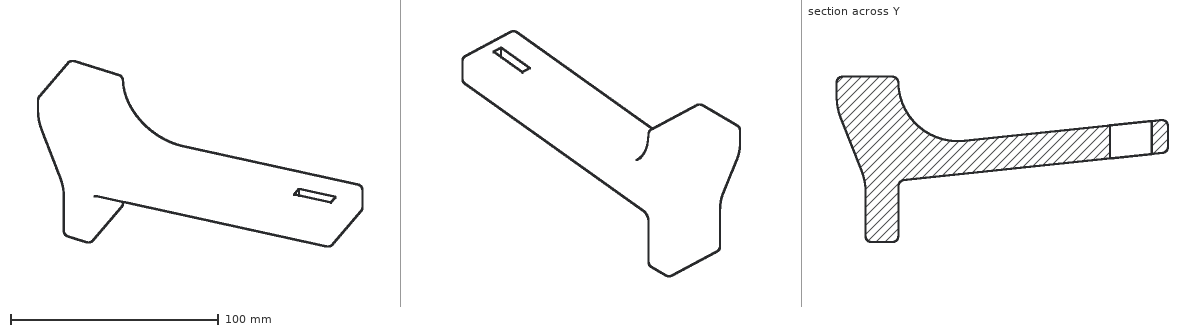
import cadquery as cq
import math

length = 160.0
width = 36.0
height = 80.0

head_width = 30.0
stem_width = 16.0
stem_left = head_width - stem_width

slope_top = 65.0
slope_bottom = 29.6
back_bend_radius = 28.5

arm_angle = 6.0
arm_thickness = 16.0
arm_root_height = 29.65
arm_slope = math.tan(math.radians(arm_angle))
arm_vertical_depth = arm_thickness / math.cos(math.radians(arm_angle))
inner_corner_radius = 3.0

saddle_radius = 28.5

edge_radius = 3.0

slot_length = 20.0
slot_width = 5.0
slot_end_gap = 8.0
slot_offset = 0.5


def arm_underside(x):
    """Height of the arm's lower face at a given x."""
    return arm_root_height + (x - head_width) * arm_slope


def arm_top(x):
    """Height of the arm's upper face at a given x."""
    return arm_underside(x) + arm_vertical_depth


def make_body():
    """Side outline extruded over the full width, with its bends rounded."""
    outline = [
        (0, height),
        (0, slope_top),
        (stem_left, slope_bottom),
        (stem_left, 0),
        (head_width, 0),
        (head_width, arm_root_height),
        (length, arm_underside(length)),
        (length, arm_top(length)),
        (head_width, arm_top(head_width)),
        (head_width, height),
    ]
    body = cq.Workplane("XZ").polyline(outline).close().extrude(width / 2, both=True)
    bends = [
        (0, slope_top, back_bend_radius),
        (stem_left, slope_bottom, back_bend_radius),
        (head_width, arm_root_height, inner_corner_radius),
        (head_width, arm_top(head_width), saddle_radius),
    ]
    for x, z, radius in bends:
        body = body.edges(cq.selectors.NearestToPointSelector((x, 0, z))).fillet(radius)
    return body


def make_slot():
    """Cutter for the vertical slot."""
    center_x = length - slot_end_gap - slot_length / 2
    slot = cq.Workplane("XY").center(center_x, slot_offset).rect(slot_length, slot_width)
    return slot.extrude(height)


def round_outer_edges(body):
    """Round both side outlines and the square ends of head, stem and arm."""
    ends = body.faces("<Z or >Z or >X").edges()
    sides = body.faces("<Y or >Y").edges()
    return body.newObject(ends.vals() + sides.vals()).fillet(edge_radius)


result = round_outer_edges(make_body()).cut(make_slot())